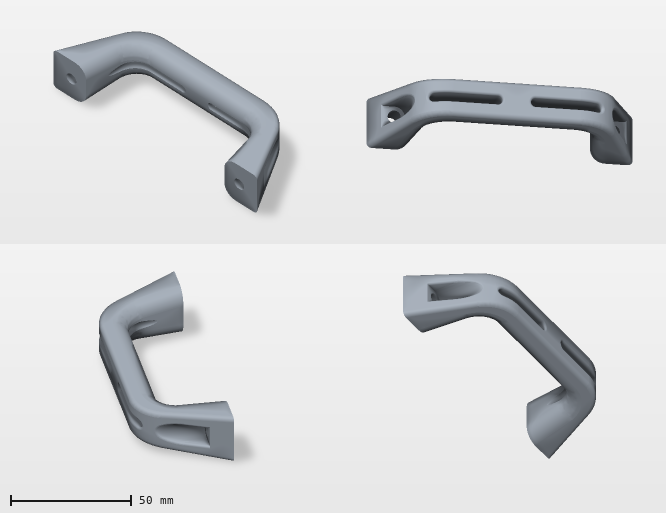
import cadquery as cq
import math

length = 112.0
height = 38.0
foot_width = 22.0
draft_angle = 4.4

half_length = length / 2
outer_lean = 25.0
outer_bend_radius = 17.9
foot_inner_x = 38.1
inner_lean = 10.0
inner_bend_radius = 10.0
grip_thickness = 12.0
grip_inner_y = height - grip_thickness

outer_edge_radius = 2.0
inner_edge_radius = 6.0
opening_edge_radius = 1.0

screw_x = 46.1
screw_diameter = 5.5
recess_width = 9.0
recess_floor_y = 9.2

slot_width = 3.8
slot_inner_end = 6.0
slot_outer_end = 36.1

select_margin = 0.1


def rounded_arch(foot_x, lean, top_y, bend_radius):
    """Solid block whose sides lean inwards and whose two upper corners are rounded."""
    top_x = foot_x - top_y * math.tan(math.radians(lean))
    points = [(-foot_x, 0), (-top_x, top_y), (top_x, top_y), (foot_x, 0)]
    arch = cq.Workplane("XY").polyline(points).close().extrude(foot_width / 2, both=True)
    return arch.edges("|Z").edges(">Y").fillet(bend_radius)


def tapered_width():
    """Wedge along X that sets the width at every height."""
    foot_half = foot_width / 2
    grip_half = foot_half - height * math.tan(math.radians(draft_angle))
    points = [(0, -foot_half), (height, -grip_half), (height, grip_half), (0, foot_half)]
    return cq.Workplane("YZ").polyline(points).close().extrude(half_length, both=True)


def edges_along_grip(y):
    """Selector for the two long grip edges at height y; their chains run down both legs."""
    lower = (-select_margin, y - select_margin, -foot_width)
    upper = (select_margin, y + select_margin, foot_width)
    return cq.selectors.BoxSelector(lower, upper)


def handle_body():
    outer = rounded_arch(half_length, outer_lean, height, outer_bend_radius)
    inner = rounded_arch(foot_inner_x, inner_lean, grip_inner_y, inner_bend_radius)
    body = outer.cut(inner).intersect(tapered_width())
    body = body.edges(edges_along_grip(height)).fillet(outer_edge_radius)
    return body.edges(edges_along_grip(grip_inner_y)).fillet(inner_edge_radius)


def horizontal_section(y):
    """Workplane at height y, facing +Y, with its first axis along +X and its second along -Z."""
    return cq.Workplane(cq.Plane(origin=(0, y, 0), xDir=(1, 0, 0), normal=(0, 1, 0)))


def grip_slot(side):
    slot_length = slot_outer_end - slot_inner_end
    slot_centre = side * (slot_outer_end + slot_inner_end) / 2
    return horizontal_section(0).center(slot_centre, 0).slot2D(slot_length, slot_width).extrude(height)


def screw_hole(side):
    return horizontal_section(0).center(side * screw_x, 0).circle(screw_diameter / 2).extrude(height)


def head_recess(side):
    """Round-ended pocket above the screw seat, open towards the outside of the leg."""
    run_out = half_length - screw_x
    seat = horizontal_section(recess_floor_y).center(side * screw_x, 0)
    pocket = seat.circle(recess_width / 2).extrude(height)
    passage = seat.center(side * run_out / 2, 0).rect(run_out, recess_width).extrude(height)
    return pocket.union(passage)


def round_rim(body, side, inner_x, outer_x, base_y, width):
    """Round where an opening breaks through the outer surface, leaving its walls and floor sharp."""
    near_x, far_x = sorted((side * inner_x, side * outer_x))
    half_width = width / 2 + select_margin
    lower = (near_x, base_y, -half_width)
    upper = (far_x, height + select_margin, half_width)
    region = cq.selectors.BoxSelector(lower, upper)
    return body.edges(region).edges("not |Y").fillet(opening_edge_radius)


def add_grip_slot(body, side):
    body = body.cut(grip_slot(side))
    inner_x = slot_inner_end - select_margin
    outer_x = slot_outer_end + select_margin
    return round_rim(body, side, inner_x, outer_x, height - grip_thickness / 2, slot_width)


def add_screw_seat(body, side):
    body = body.cut(head_recess(side)).cut(screw_hole(side))
    inner_x = screw_x - recess_width / 2 - select_margin
    return round_rim(body, side, inner_x, half_length, recess_floor_y + select_margin, recess_width)


result = handle_body()
for side in (-1, 1):
    result = add_grip_slot(result, side)
    result = add_screw_seat(result, side)